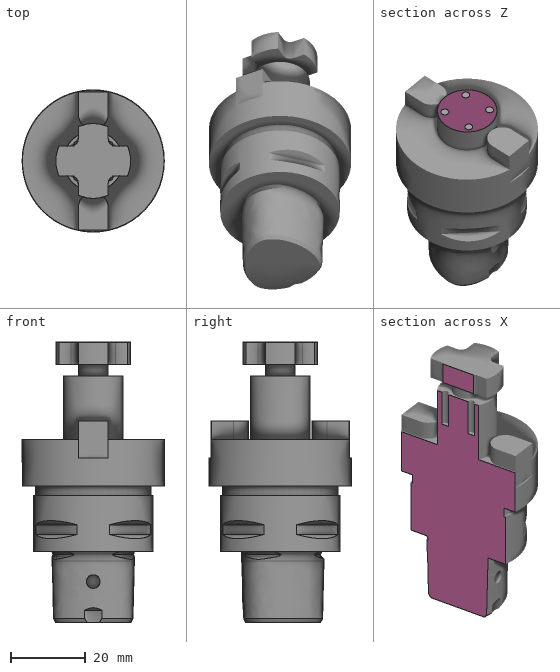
import cadquery as cq
import math


BODY_DIA = 32.0
NECK_DIA = 31.0
FLANGE_DIA = 38.0
PILOT_DIA = 16.0
SCREW_DIA = 8.0
BODY_TOP = 15.0
FLANGE_BOTTOM = 17.5
FLANGE_TOP = 30.0
PILOT_TOP = 47.0
SCREW_TOP = 50.0
HEAD_TOP = 56.0

HEAD_DIA = 20.0
ARM_WIDTH = 8.0
ARM_FILLET = 2.0

KEY_WIDTH = 8.0
KEY_OUTER_Y = 18.5
KEY_INNER_Y = 8.5
KEY_BOTTOM = 25.0
KEY_TOP = 35.0

COOLANT_COUNT = 4
COOLANT_START_ANGLE = 45
COOLANT_DIA = 2.0
COOLANT_CIRCLE_RADIUS = 6.0
COOLANT_DEPTH = 10.0

POCKET_COUNT = 4
POCKET_START_ANGLE = 45
POCKET_FLAT_DISTANCE = 13.9
POCKET_WIDTH = 15.6
POCKET_FLAT_HEIGHT = 2.5
POCKET_CENTER_Z = 5.9
POCKET_FLARE_ANGLE = 29.0

SHANK_LENGTH = 19.0
SHANK_WIDTH = 22.0
LOBE_COUNT = 3
LOBE_HEIGHT = 0.7
TAPER_START_Z = -2.5
TAPER_ON_WIDTH = 1 / 20
END_CHAMFER_HEIGHT = 1.1
END_CHAMFER_ANGLE = 30.0
SHANK_CURVE_POINTS = 72

GROOVE_TOP_RADIUS = 11.1
GROOVE_MIN_RADIUS = 10.77
GROOVE_ARC_RADIUS = 1.0
GROOVE_ARC_Z = -0.7

CROSS_HOLE_DIA = 3.6
CROSS_HOLE_Z = -8.0
CROSS_HOLE_DEPTH = 4.0
NOTCH_DIA = 6.4
NOTCH_HEIGHT = 3.3
NOTCH_AXIS_Y = -12.0
NOTCH_POINT_ANGLE = 118.0

CUT_MARGIN = 3.0


def disc(diameter, bottom, top):
    """Cylinder on the Z axis between two heights."""
    return cq.Workplane("XY").workplane(offset=bottom).circle(diameter / 2).extrude(top - bottom)


def make_turned_body():
    steps = [
        (BODY_DIA, 0, BODY_TOP),
        (NECK_DIA, BODY_TOP, FLANGE_BOTTOM),
        (FLANGE_DIA, FLANGE_BOTTOM, FLANGE_TOP),
        (PILOT_DIA, FLANGE_TOP, PILOT_TOP),
        (SCREW_DIA, PILOT_TOP, SCREW_TOP),
    ]
    body = disc(*steps[0])
    for step in steps[1:]:
        body = body.union(disc(*step))
    return body


def make_screw_head():
    height = HEAD_TOP - SCREW_TOP
    base = cq.Workplane("XY").workplane(offset=SCREW_TOP)
    cross = base.rect(HEAD_DIA, ARM_WIDTH).extrude(height)
    cross = cross.union(base.rect(ARM_WIDTH, HEAD_DIA).extrude(height))
    corner = ARM_WIDTH / 2
    for x in (-corner, corner):
        for y in (-corner, corner):
            edge = cq.selectors.NearestToPointSelector((x, y, SCREW_TOP + height / 2))
            cross = cross.edges(edge).fillet(ARM_FILLET)
    return cross.intersect(disc(HEAD_DIA, SCREW_TOP, HEAD_TOP))


def make_key():
    """Round-ended drive key on the -Y side."""
    round_center_y = -(KEY_INNER_Y + KEY_WIDTH / 2)
    return (
        cq.Workplane("XY")
        .workplane(offset=KEY_BOTTOM)
        .moveTo(-KEY_WIDTH / 2, -KEY_OUTER_Y)
        .lineTo(KEY_WIDTH / 2, -KEY_OUTER_Y)
        .lineTo(KEY_WIDTH / 2, round_center_y)
        .threePointArc((0, -KEY_INNER_Y), (-KEY_WIDTH / 2, round_center_y))
        .close()
        .extrude(KEY_TOP - KEY_BOTTOM)
    )


def make_key_seat():
    """Cuts the flange rim back flush with the outer face of the -Y key."""
    return (
        cq.Workplane("XY")
        .box(KEY_WIDTH, CUT_MARGIN, FLANGE_TOP - KEY_BOTTOM, centered=(True, False, False))
        .translate((0, -KEY_OUTER_Y - CUT_MARGIN, KEY_BOTTOM))
    )


def make_coolant_holes():
    return (
        cq.Workplane("XY")
        .workplane(offset=PILOT_TOP - COOLANT_DEPTH)
        .polarArray(COOLANT_CIRCLE_RADIUS, COOLANT_START_ANGLE, 360, COOLANT_COUNT)
        .circle(COOLANT_DIA / 2)
        .extrude(COOLANT_DEPTH)
    )


def make_gripper_pocket():
    """Flat-bottomed pocket flaring outward, cut square across the +X side."""
    outer = BODY_DIA / 2 + CUT_MARGIN
    flare = (outer - POCKET_FLAT_DISTANCE) * math.tan(math.radians(POCKET_FLARE_ANGLE))
    half_height = POCKET_FLAT_HEIGHT / 2
    return (
        cq.Workplane("XZ")
        .polyline([
            (POCKET_FLAT_DISTANCE, POCKET_CENTER_Z - half_height),
            (outer, POCKET_CENTER_Z - half_height - flare),
            (outer, POCKET_CENTER_Z + half_height + flare),
            (POCKET_FLAT_DISTANCE, POCKET_CENTER_Z + half_height),
        ])
        .close()
        .extrude(POCKET_WIDTH / 2, both=True)
    )


def shank_section(width, z):
    """Closed lobed wire; a smaller width gives an inward parallel of the same curve."""

    def point(t):
        angle = -math.pi / 2 + 2 * math.pi * t
        lobe_angle = LOBE_COUNT * (angle - math.pi / 2)
        normal = width / 2 + LOBE_HEIGHT * math.cos(lobe_angle)
        tangent = -LOBE_COUNT * LOBE_HEIGHT * math.sin(lobe_angle)
        x = normal * math.cos(angle) - tangent * math.sin(angle)
        y = normal * math.sin(angle) + tangent * math.cos(angle)
        return cq.Vector(x, y, z)

    points = [point(i / SHANK_CURVE_POINTS) for i in range(SHANK_CURVE_POINTS)]
    return cq.Wire.assembleEdges([cq.Edge.makeSpline(points, periodic=True)])


def make_shank():
    chamfer_z = END_CHAMFER_HEIGHT - SHANK_LENGTH
    chamfer_width = SHANK_WIDTH - (TAPER_START_Z - chamfer_z) * TAPER_ON_WIDTH
    end_width = chamfer_width - 2 * END_CHAMFER_HEIGHT * math.tan(math.radians(END_CHAMFER_ANGLE))
    levels = [
        (SHANK_WIDTH, 0),
        (SHANK_WIDTH, TAPER_START_Z),
        (chamfer_width, chamfer_z),
        (end_width, -SHANK_LENGTH),
    ]
    sections = [shank_section(width, z) for width, z in levels]
    return cq.Workplane(cq.Solid.makeLoft(sections, True))


def make_lobe_groove():
    """Ring narrowing downward to a round root, then running out along a 45 degree slope."""
    center_r = GROOVE_MIN_RADIUS + GROOVE_ARC_RADIUS
    diagonal = GROOVE_ARC_RADIUS * math.sqrt(0.5)
    mid_arc = math.radians(45 / 2)
    mid_point = (
        center_r - GROOVE_ARC_RADIUS * math.cos(mid_arc),
        GROOVE_ARC_Z - GROOVE_ARC_RADIUS * math.sin(mid_arc),
    )
    slope_r = center_r - diagonal
    slope_z = GROOVE_ARC_Z - diagonal
    outer_r = SHANK_WIDTH / 2 + LOBE_HEIGHT + CUT_MARGIN
    return (
        cq.Workplane("XZ")
        .moveTo(GROOVE_TOP_RADIUS, 0)
        .lineTo(GROOVE_MIN_RADIUS, GROOVE_ARC_Z)
        .threePointArc(mid_point, (slope_r, slope_z))
        .lineTo(outer_r, slope_z - (outer_r - slope_r))
        .lineTo(outer_r, 0)
        .close()
        .revolve(360, (0, 0, 0), (0, 1, 0))
    )


def make_cross_hole():
    surface_y = SHANK_WIDTH / 2 - LOBE_HEIGHT
    return (
        cq.Workplane("XZ", origin=(0, CROSS_HOLE_DEPTH - surface_y, CROSS_HOLE_Z))
        .circle(CROSS_HOLE_DIA / 2)
        .extrude(CROSS_HOLE_DEPTH + CUT_MARGIN)
    )


def make_drive_notch():
    """Upward drilled notch with a conical end, at the free end of the shank."""
    radius = NOTCH_DIA / 2
    cone_height = radius / math.tan(math.radians(NOTCH_POINT_ANGLE / 2))
    return (
        cq.Workplane("XZ")
        .polyline([(0, 0), (radius, 0), (radius, NOTCH_HEIGHT), (0, NOTCH_HEIGHT + cone_height)])
        .close()
        .revolve(360, (0, 0, 0), (0, 1, 0))
        .translate((0, NOTCH_AXIS_Y, -SHANK_LENGTH))
    )


def turned(shape, angle):
    """Shape rotated about the Z axis."""
    return shape.rotate((0, 0, 0), (0, 0, 1), angle)


shank = make_shank().cut(make_lobe_groove()).cut(make_cross_hole()).cut(make_drive_notch())

result = make_turned_body().union(make_screw_head()).union(shank).cut(make_coolant_holes())

for side in (0, 180):
    result = result.cut(turned(make_key_seat(), side))
    result = result.union(turned(make_key(), side))

for index in range(POCKET_COUNT):
    angle = POCKET_START_ANGLE + index * 360 / POCKET_COUNT
    result = result.cut(turned(make_gripper_pocket(), angle))